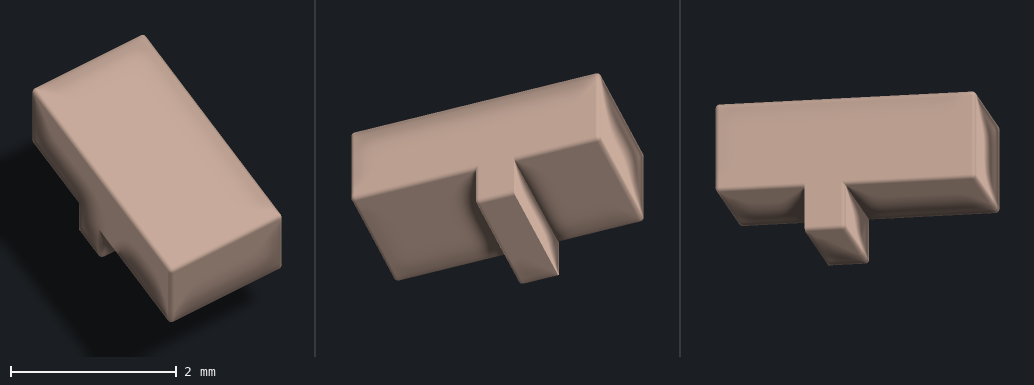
import cadquery as cq

chip_length = 3.2
chip_width = 1.6
chip_height = 1.1
terminal_length = 0.5
edge_radius = 0.05

tab_bottom = -chip_height / 2
tab_right = 0.0


def block(left, right, bottom):
    """Block with the full chip width and height, between two X positions."""
    return cq.Workplane("XY").box(
        right - left, chip_width, chip_height, centered=(False, True, False)
    ).translate((left, 0, bottom))


def make_chip_envelope():
    """Outer shape of the whole chip, with every edge rounded."""
    return block(-chip_length / 2, chip_length / 2, 0).edges().fillet(edge_radius)


def make_tab_envelope():
    """Tab with a sharp flat -X face and all its other edges rounded."""
    tab = block(tab_right - terminal_length, tab_right, tab_bottom)
    return tab.edges("not(<X)").fillet(edge_radius)


def make_terminal(side):
    """End terminal on the -X side (side = -1) or the +X side (side = 1)."""
    outer_x = side * chip_length / 2
    inner_x = outer_x - side * terminal_length
    end_slice = block(min(outer_x, inner_x), max(outer_x, inner_x), 0)
    return make_chip_envelope().intersect(end_slice)


def make_core():
    """Middle of the chip, with a recess that fits the tab."""
    core_end = chip_length / 2 - terminal_length
    middle_slice = block(-core_end, core_end, 0)
    return make_chip_envelope().intersect(middle_slice).cut(make_tab_envelope())


def make_tab_insert():
    """Part of the tab seated in the core, flush with the chip's outside."""
    return make_tab_envelope().intersect(make_chip_envelope())


def make_tab_foot():
    """Part of the tab outside the chip, fitted to its rounded underside."""
    return make_tab_envelope().cut(make_chip_envelope())


core = make_core()
terminals = [make_terminal(side) for side in (-1, 1)]
tab_insert = make_tab_insert()
tab_foot = make_tab_foot()

result = cq.Compound.makeCompound([
    core.solids().val(),
    *[terminal.solids().val() for terminal in terminals],
    tab_insert.solids().val(),
    tab_foot.solids().val(),
])